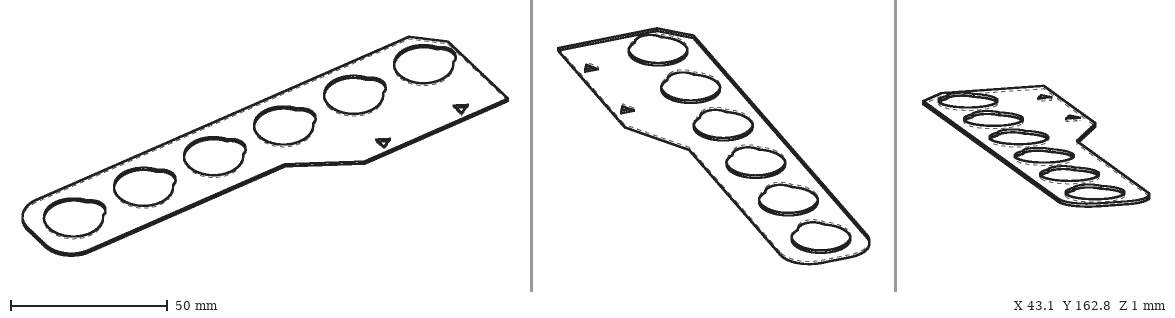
import cadquery as cq
import math

length = 162.8
head_width = 43.1
arm_width = 30.0
thickness = 1.0
head_length = 55.4
taper_length = 21.8
corner_cut = 9.0
arm_corner_radius = 10.0

opening_count = 6
opening_pitch = 27.0
opening_x = 13.8
first_opening_y = length - 12.7
opening_radius = 9.5
lobe_radius = 4.9
lobe_offset = 6.5

triangle_side = 4.5
triangle_height = triangle_side * math.sqrt(3) / 2
triangle_x = head_width - 4.7
first_triangle_base_y = length - 16.3
triangle_pitch = 30.0
triangle_count = 2


def make_plate():
    taper_start = length - head_length
    outline = [
        (0, 0),
        (arm_width, 0),
        (arm_width, taper_start - taper_length),
        (head_width, taper_start),
        (head_width, length),
        (corner_cut, length),
        (0, length - corner_cut),
    ]
    plate = cq.Workplane("XY").polyline(outline).close().extrude(thickness)
    return plate.edges("|Z and <Y").fillet(arm_corner_radius)


def make_opening(center_y):
    base = cq.Workplane("XY").center(opening_x, center_y)
    large = base.circle(opening_radius).extrude(thickness)
    lobe = base.center(0, lobe_offset).circle(lobe_radius).extrude(thickness)
    return large.union(lobe)


def make_triangle(base_y):
    corners = [
        (triangle_x - triangle_side / 2, base_y),
        (triangle_x + triangle_side / 2, base_y),
        (triangle_x, base_y + triangle_height),
    ]
    return cq.Workplane("XY").polyline(corners).close().extrude(thickness)


result = make_plate()
for index in range(opening_count):
    result = result.cut(make_opening(first_opening_y - index * opening_pitch))
for index in range(triangle_count):
    result = result.cut(make_triangle(first_triangle_base_y - index * triangle_pitch))